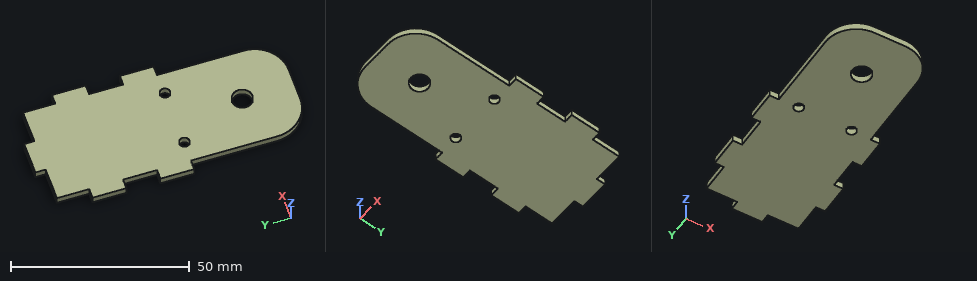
import cadquery as cq

thickness = 2.5
body_width = 30.0
body_length = 75.0
corner_radius = 10.0

tab_width = 10.0
tab_depth = 3.0
side_tab_gap = 10.0
first_side_tab_y = 35.5
side_tab_starts = (first_side_tab_y, first_side_tab_y + tab_width + side_tab_gap)

pivot_diameter = 6.0
pivot_y = 15.4
screw_diameter = 3.0
screw_y = 35.3
screw_spacing = 17.2


def make_block(width, length, start_y):
    """Block of plate thickness, centred on X and running in +Y from start_y."""
    block = cq.Workplane("XY").box(width, length, thickness, centered=(True, False, False))
    return block.translate((0, start_y, 0))


def make_body():
    """Main plate with its two corners rounded at the -Y end."""
    return make_block(body_width, body_length, 0).edges("|Z and <Y").fillet(corner_radius)


def add_tabs(plate):
    """Add the end tab, then each side pair as one block spanning the plate."""
    plate = plate.union(make_block(tab_width, tab_depth, body_length))
    for start_y in side_tab_starts:
        plate = plate.union(make_block(body_width + 2 * tab_depth, tab_width, start_y))
    return plate


def cut_holes(plate, diameter, centers):
    """Cut through holes of one diameter at the given XY centres."""
    pins = cq.Workplane("XY").pushPoints(centers).circle(diameter / 2).extrude(thickness)
    return plate.cut(pins)


plate = add_tabs(make_body())
plate = cut_holes(plate, pivot_diameter, [(0, pivot_y)])
screw_centers = [(side * screw_spacing / 2, screw_y) for side in (-1, 1)]
result = cut_holes(plate, screw_diameter, screw_centers)